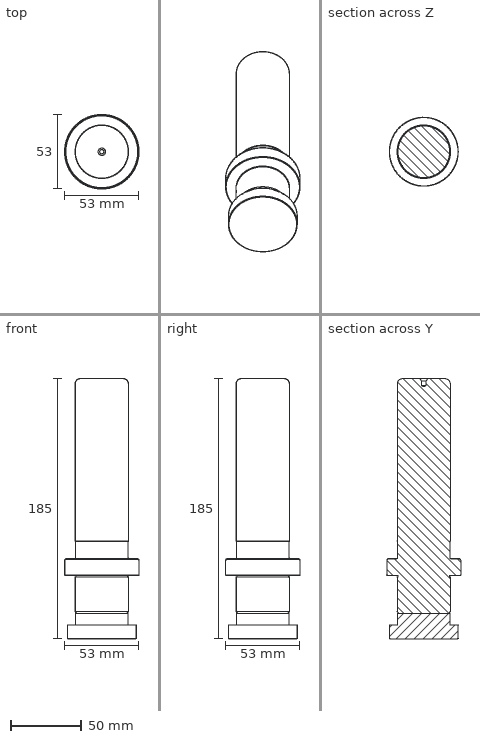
import cadquery as cq
import math

total_height = 185.0

disc_diameter = 49.0
disc_thickness = 10.0
disc_chamfer = 0.5
hub_diameter = 37.5
hub_height = 8.2

guide_diameter = 38.0
shank_length = 26.8
shank_chamfer = 1.2
undercut_diameter = 37.0
undercut_width = 1.0
flange_diameter = 53.0
flange_thickness = 12.0
flange_rim_chamfer_width = 0.7
flange_rim_chamfer_height = 0.4
flange_taper_width = 0.3
flange_taper_height = 1.1
flange_bottom_chamfer = 0.5
neck_diameter = 37.5
neck_height = 12.2
neck_root_fillet = 0.8
guide_chamfer = 0.3
nose_radius = 4.0

centre_mouth_diameter = 5.2
centre_drill_diameter = 3.0
centre_cone_angle = 60.0
centre_drill_length = 3.0
centre_tip_angle = 120.0

pin_bottom = disc_thickness + hub_height
flange_bottom = pin_bottom + shank_length
flange_top = flange_bottom + flange_thickness
guide_bottom = flange_top + neck_height


def cylinder(diameter, bottom, top):
    """Cylinder on the Z axis between two levels."""
    return cq.Workplane("XY").workplane(offset=bottom).circle(diameter / 2).extrude(top - bottom)


def make_retaining_disc():
    """Disc with a chamfered lower rim and a hub that meets the bottom of the pin."""
    disc = cylinder(disc_diameter, 0, disc_thickness).faces("<Z").chamfer(disc_chamfer)
    return disc.union(cylinder(hub_diameter, disc_thickness, pin_bottom))


def make_centre_hole():
    """Conical mouth leading into a short drilled hole with a pointed bottom."""
    mouth_radius = centre_mouth_diameter / 2
    drill_radius = centre_drill_diameter / 2
    cone_depth = (mouth_radius - drill_radius) / math.tan(math.radians(centre_cone_angle / 2))
    cone_bottom = total_height - cone_depth
    drill_bottom = cone_bottom - centre_drill_length
    tip_depth = drill_radius / math.tan(math.radians(centre_tip_angle / 2))
    return (
        cq.Workplane("XZ")
        .moveTo(0, total_height)
        .lineTo(mouth_radius, total_height)
        .lineTo(drill_radius, cone_bottom)
        .lineTo(drill_radius, drill_bottom)
        .lineTo(0, drill_bottom - tip_depth)
        .close()
        .revolve(360, (0, 0, 0), (0, 1, 0))
    )


def make_neck_fillet():
    """Concave ring that blends the neck into the top of the flange."""
    neck_radius = neck_diameter / 2
    root_outer_radius = neck_radius + neck_root_fillet
    fillet_top = flange_top + neck_root_fillet
    arc_reach = neck_root_fillet * math.sqrt(0.5)
    return (
        cq.Workplane("XZ")
        .moveTo(0, flange_top)
        .lineTo(root_outer_radius, flange_top)
        .threePointArc(
            (root_outer_radius - arc_reach, fillet_top - arc_reach),
            (neck_radius, fillet_top),
        )
        .lineTo(0, fillet_top)
        .close()
        .revolve(360, (0, 0, 0), (0, 1, 0))
    )


def make_flange():
    """Flange with a chamfered lower rim and an upper rim that tapers into a flatter chamfer."""
    flange_radius = flange_diameter / 2
    taper_radius = flange_radius - flange_taper_width
    taper_top = flange_top - flange_rim_chamfer_height
    return (
        cq.Workplane("XZ")
        .moveTo(0, flange_bottom)
        .lineTo(flange_radius - flange_bottom_chamfer, flange_bottom)
        .lineTo(flange_radius, flange_bottom + flange_bottom_chamfer)
        .lineTo(flange_radius, taper_top - flange_taper_height)
        .lineTo(taper_radius, taper_top)
        .lineTo(taper_radius - flange_rim_chamfer_width, flange_top)
        .lineTo(0, flange_top)
        .close()
        .revolve(360, (0, 0, 0), (0, 1, 0))
    )


def make_guide_pin():
    """Shouldered guide pin with a rounded nose and a centre hole."""
    undercut_bottom = flange_bottom - undercut_width
    shank = cylinder(guide_diameter, pin_bottom, undercut_bottom).faces("<Z").chamfer(shank_chamfer)
    undercut = cylinder(undercut_diameter, undercut_bottom, flange_bottom)
    neck = cylinder(neck_diameter, flange_top, guide_bottom)
    guide = (
        cylinder(guide_diameter, guide_bottom, total_height)
        .faces(">Z").edges().fillet(nose_radius)
        .faces("<Z").chamfer(guide_chamfer)
    )
    pin = shank.union(undercut).union(make_flange()).union(make_neck_fillet()).union(neck).union(guide)
    return pin.cut(make_centre_hole())


retaining_disc = make_retaining_disc()
guide_pin = make_guide_pin()

result = cq.Compound.makeCompound([retaining_disc.val(), guide_pin.val()])